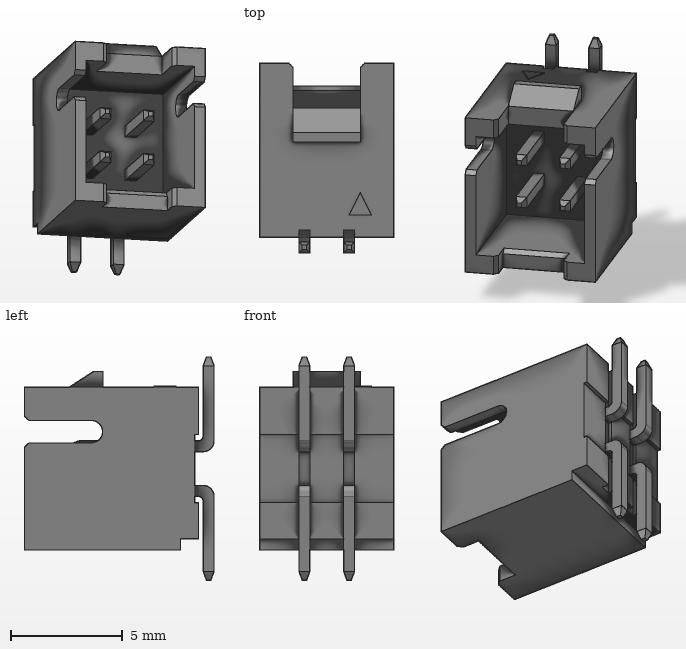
import cadquery as cq


body_width = 6
body_length = 7.8
body_height = 7.3
half_height = body_height / 2
lead_in = 0.2

side_wall = 0.5
flat_wall = 0.85
cavity_depth = 5.8

latch_width = 3
top_notch_depth = 2.02
bottom_notch_depth = 1.02
slot_drop = 1.5
slot_width = 1
slot_depth = 3.5

latch_height = 0.7
latch_ramp_end = 3.1
latch_end = 3.53

recess_depth = 0.16
recess_height = 3.04
step_depth = 0.8
step_height = 0.5
groove_depth = 0.32

mark_size = 1
mark_thickness = 0.04
mark_x = 1.5
mark_y = 1

pin_size = 0.5
pin_pitch = 2
pin_reach = 0.7
pin_half_span = 5
pin_inset = 2.06
tip_length = 0.4
tip_size = 0.2
bend_outer_radius = 0.5
bend_inner_radius = 0.2


def box(width, length, height, x=0, y=0, z=0):
    """Box centred on x and z that starts at y and runs towards +Y."""
    return cq.Workplane("XY").box(width, length, height, centered=(True, False, True)).translate((x, y, z))


def wall_notch(depth, wall_center_z, wall_thickness):
    """Cutter for a notch that opens a horizontal wall at the mating face."""
    return box(latch_width, depth, wall_thickness, y=body_length - depth, z=wall_center_z)


def make_housing():
    housing = box(body_width, body_length, body_height)

    cavity_width = body_width - 2 * side_wall
    cavity_height = body_height - 2 * flat_wall
    housing = housing.cut(box(cavity_width, cavity_depth, cavity_height, y=body_length - cavity_depth))

    wall_z = half_height - flat_wall / 2
    housing = housing.cut(wall_notch(top_notch_depth, wall_z, flat_wall))
    housing = housing.cut(wall_notch(bottom_notch_depth, -wall_z, flat_wall))

    half_notch = latch_width / 2
    mouth = (
        cq.Workplane("XY", origin=(0, 0, -half_height))
        .moveTo(-half_notch - lead_in, body_length)
        .lineTo(half_notch + lead_in, body_length)
        .lineTo(half_notch, body_length - lead_in)
        .lineTo(-half_notch, body_length - lead_in)
        .close()
        .extrude(body_height)
    )
    housing = housing.cut(mouth)

    notch_end = body_length - bottom_notch_depth
    cavity_floor = -half_height + flat_wall
    floor_chamfer = (
        cq.Workplane("YZ", origin=(-half_notch, 0, 0))
        .moveTo(notch_end, cavity_floor)
        .lineTo(notch_end - lead_in, cavity_floor)
        .lineTo(notch_end, cavity_floor - lead_in)
        .close()
        .extrude(latch_width)
    )
    return housing.cut(floor_chamfer)


def side_slot():
    """Round-ended slot through both side walls, flared at the mating face."""
    slot_top = half_height - slot_drop
    slot_bottom = slot_top - slot_width
    slot_end = body_length - slot_depth
    arc_start = slot_end + slot_width / 2
    return (
        cq.Workplane("YZ", origin=(-body_width / 2, 0, 0))
        .moveTo(body_length, slot_top + lead_in)
        .lineTo(body_length - lead_in, slot_top)
        .lineTo(arc_start, slot_top)
        .threePointArc((slot_end, slot_top - slot_width / 2), (arc_start, slot_bottom))
        .lineTo(body_length - lead_in, slot_bottom)
        .lineTo(body_length, slot_bottom - lead_in)
        .close()
        .extrude(body_width)
    )


def latch_ramp():
    return (
        cq.Workplane("YZ", origin=(-latch_width / 2, 0, half_height))
        .moveTo(body_length - top_notch_depth, 0)
        .lineTo(body_length - latch_ramp_end, latch_height)
        .lineTo(body_length - latch_end, latch_height)
        .lineTo(body_length - latch_end, 0)
        .close()
        .extrude(latch_width)
    )


def pin_mark():
    return (
        cq.Workplane("XY", origin=(mark_x, mark_y, half_height))
        .moveTo(-mark_size / 2, 0)
        .lineTo(mark_size / 2, 0)
        .lineTo(0, mark_size)
        .close()
        .extrude(mark_thickness)
    )


def tapered_tip(plane, origin):
    """Pin end that narrows along the normal of the given plane."""
    return (
        cq.Workplane(plane, origin=origin)
        .rect(pin_size, pin_size)
        .workplane(offset=tip_length)
        .rect(tip_size, tip_size)
        .loft()
    )


def upper_pin(x):
    """Pin from the cavity to behind the housing, bent upwards, with tapered ends."""
    z = pin_pitch / 2
    shaft_end = body_length - pin_inset - tip_length
    leg_top = pin_half_span - tip_length
    outer = -pin_reach
    inner = outer + pin_size
    shaft_top = z + pin_size / 2
    shaft_bottom = z - pin_size / 2
    bent_bar = (
        cq.Workplane("YZ", origin=(x - pin_size / 2, 0, 0))
        .moveTo(shaft_end, shaft_bottom)
        .lineTo(outer + bend_outer_radius, shaft_bottom)
        .radiusArc((outer, shaft_bottom + bend_outer_radius), bend_outer_radius)
        .lineTo(outer, leg_top)
        .lineTo(inner, leg_top)
        .lineTo(inner, shaft_top + bend_inner_radius)
        .radiusArc((inner + bend_inner_radius, shaft_top), -bend_inner_radius)
        .lineTo(shaft_end, shaft_top)
        .close()
        .extrude(pin_size)
    )
    leg_tip = tapered_tip("XY", (x, outer + pin_size / 2, leg_top))
    shaft_tip = tapered_tip("ZX", (x, shaft_end, z))
    return bent_bar.union(leg_tip).union(shaft_tip)


result = make_housing().cut(side_slot())
result = result.cut(box(body_width, recess_depth, recess_height))
result = result.cut(box(body_width, step_depth, step_height, z=-half_height + step_height / 2))

result = result.union(latch_ramp()).union(pin_mark())

for column_x in (-pin_pitch / 2, pin_pitch / 2):
    pin = upper_pin(column_x)
    result = result.cut(box(pin_size, groove_depth, body_height, x=column_x))
    result = result.union(pin).union(pin.mirror("XY"))